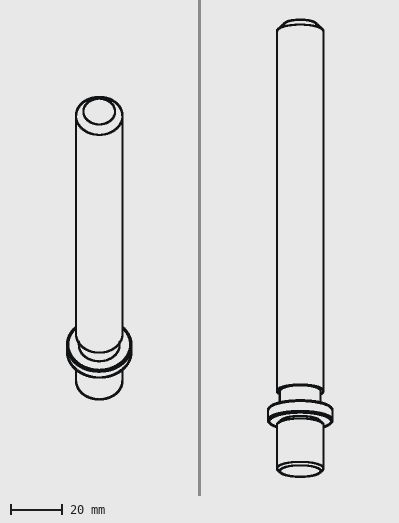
import cadquery as cq

total_length = 180.0
shaft_radius = 9.0
neck_radius = 8.0

flange_bottom = 20.0
flange_thickness = 5.0
flange_top = flange_bottom + flange_thickness
shaft_bottom = 32.2

flange_diameter = 25.0
flange_radius = flange_diameter / 2
flange_chamfer = 0.5

tip_chamfer = 2.9
foot_chamfer = 1.0
spigot_top_chamfer = 1.5

profile = [
    (0, 0),
    (shaft_radius - foot_chamfer, 0),
    (shaft_radius, foot_chamfer),
    (shaft_radius, flange_bottom - spigot_top_chamfer),
    (shaft_radius - spigot_top_chamfer, flange_bottom),
    (flange_radius - flange_chamfer, flange_bottom),
    (flange_radius, flange_bottom + flange_chamfer),
    (flange_radius, flange_top - flange_chamfer),
    (flange_radius - flange_chamfer, flange_top),
    (neck_radius, flange_top),
    (neck_radius, shaft_bottom),
    (shaft_radius, shaft_bottom),
    (shaft_radius, total_length - tip_chamfer),
    (shaft_radius - tip_chamfer, total_length),
    (0, total_length),
]

result = cq.Workplane("XZ").polyline(profile).close().revolve(360, (0, 0, 0), (0, 1, 0))